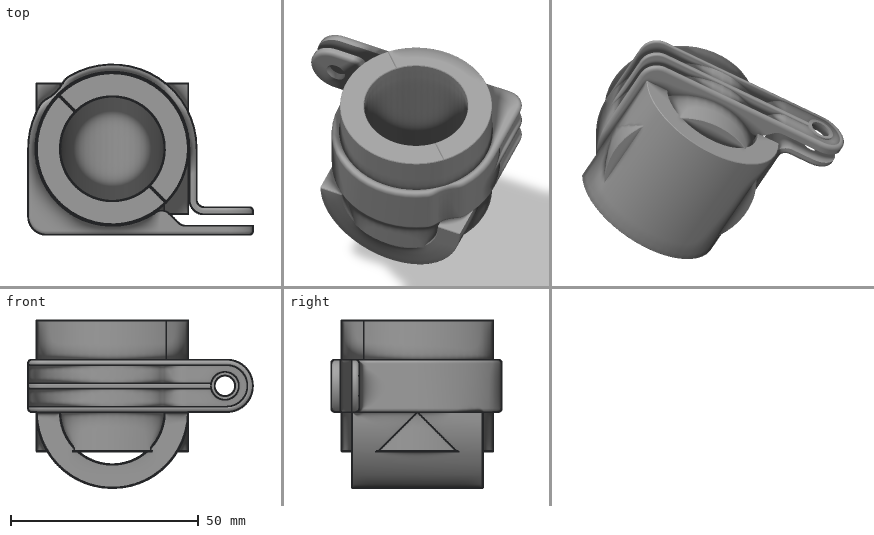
import cadquery as cq
import math


sleeve_diameter = 40.55
sleeve_bore_diameter = 27.7
sleeve_length = 35.05
sleeve_end_chamfer = 0.2
split_angle = -45

band_bore_radius = 20.5
band_wall = 2.0
band_height = 14.05
band_edge_fillet = 1.0

arm_tip_x = 37.5
arm_gap = 3.0
bolt_x = 30.0
bolt_hole_diameter = 5.4
bolt_boss_diameter = 7.45

strap_bend_radius = 2.0
arm_bend_radius = 3.0
lip_fillet = 3.0

rib_thickness = 1.5
rib_projection = 0.5
rib_edge_fillet = 0.5
rib_corner_radius = 5.0

hinge_angle = 135
hinge_wall = 0.8
hinge_hollow_radius = 10.0
hinge_shoulder_fillet = 5.0

sleeve_radius = sleeve_diameter / 2
band_radius = band_bore_radius + band_wall
half_height = band_height / 2
rigid_arm_inner_y = -band_bore_radius
web_outer_y = rigid_arm_inner_y - band_wall
rib_outer_y = web_outer_y - rib_projection
strap_arm_outer_y = rigid_arm_inner_y + arm_gap
strap_arm_inner_y = strap_arm_outer_y + band_wall
tip_centre_x = arm_tip_x - half_height
cradle_axis_z = -half_height


def polar(centre, radius, angle):
    """Point at the given angle in degrees on a circle."""
    a = math.radians(angle)
    return centre[0] + radius * math.cos(a), centre[1] + radius * math.sin(a)


def arc(path, centre, radius, start, end):
    """Continue a path with a circular arc between two angles in degrees."""
    middle = polar(centre, radius, (start + end) / 2)
    return path.threePointArc(middle, polar(centre, radius, end))


def full_sleeve():
    tube = cq.Workplane("XY").circle(sleeve_radius).circle(sleeve_bore_diameter / 2)
    return tube.extrude(sleeve_length / 2, both=True)


def half_sleeve(direction):
    """Half of the split sleeve, on the side of the joint that the direction (degrees) points to."""
    keep = cq.Workplane("XY").box(
        sleeve_diameter, sleeve_diameter, sleeve_length, centered=(False, True, True)
    )
    half = full_sleeve().intersect(keep).faces("|Z").chamfer(sleeve_end_chamfer)
    return half.rotate((0, 0, 0), (0, 0, 1), direction)


def make_cradle():
    lying = half_sleeve(-90).rotate((0, 0, 0), (1, 0, 0), 90)
    return lying.translate((0, 0, cradle_axis_z)).cut(full_sleeve())


origin = (0, 0)
strap_bend_centre = (band_radius + strap_bend_radius, strap_arm_inner_y + strap_bend_radius)

slit_face_sum = -arm_gap / 2 * math.sqrt(2)
arm_bend_centre_y = rigid_arm_inner_y + arm_bend_radius
arm_bend_centre = (slit_face_sum + arm_bend_radius * math.sqrt(2) - arm_bend_centre_y, arm_bend_centre_y)
lip_reach = band_bore_radius + lip_fillet
lip_angle = split_angle - math.degrees(math.asin((arm_gap / 2 + lip_fillet) / lip_reach))
lip_centre = polar(origin, lip_reach, lip_angle)
slit_normal = split_angle + 90

hollow_reach = band_bore_radius + hinge_wall + hinge_hollow_radius
shoulder_reach = band_radius - hinge_shoulder_fillet
centre_spacing = hinge_hollow_radius + hinge_shoulder_fillet
shoulder_offset = math.degrees(math.acos(
    (hollow_reach**2 + shoulder_reach**2 - centre_spacing**2) / (2 * hollow_reach * shoulder_reach)
))
hollow_half_angle = math.degrees(
    math.asin(shoulder_reach * math.sin(math.radians(shoulder_offset)) / centre_spacing)
)


def slit_and_strap_path():
    """Open path: tip of the rigid arm, slit lip, strap arm, then over the band's outside to its -X side.

    It skips the bore, which is cut later.
    """
    path = cq.Workplane("XY").moveTo(arm_tip_x, rigid_arm_inner_y)
    path = path.lineTo(arm_bend_centre[0], rigid_arm_inner_y)
    path = arc(path, arm_bend_centre, arm_bend_radius, -90, slit_normal - 180)
    path = path.lineTo(*polar(lip_centre, lip_fillet, slit_normal))
    path = arc(path, lip_centre, lip_fillet, slit_normal, lip_angle + 180)
    path = path.lineTo(band_bore_radius, 0)
    path = path.lineTo(band_bore_radius, strap_bend_centre[1])
    path = arc(path, strap_bend_centre, strap_bend_radius + band_wall, 180, 270)
    path = path.lineTo(arm_tip_x, strap_arm_outer_y).lineTo(arm_tip_x, strap_arm_inner_y)
    path = path.lineTo(strap_bend_centre[0], strap_arm_inner_y)
    path = arc(path, strap_bend_centre, strap_bend_radius, 270, 180)
    path = path.lineTo(band_radius, 0)
    first = hinge_angle - shoulder_offset
    last = hinge_angle + shoulder_offset
    hollow_mid = hinge_angle + 180
    path = arc(path, origin, band_radius, 0, first)
    path = arc(path, polar(origin, shoulder_reach, first), hinge_shoulder_fillet,
               first, hinge_angle + hollow_half_angle)
    path = arc(path, polar(origin, hollow_reach, hinge_angle), hinge_hollow_radius,
               hollow_mid + hollow_half_angle, hollow_mid - hollow_half_angle)
    path = arc(path, polar(origin, shoulder_reach, last), hinge_shoulder_fillet,
               hinge_angle - hollow_half_angle, last)
    return arc(path, origin, band_radius, last, 180)


def clamp_envelope():
    """Clamp with solid band and solid rigid arm, rounded arm tips and rounded outer edges."""
    path = slit_and_strap_path()
    corner = (-band_radius + rib_corner_radius, rib_outer_y + rib_corner_radius)
    path = path.lineTo(-band_radius, corner[1])
    path = arc(path, corner, rib_corner_radius, 180, 270)
    body = path.lineTo(arm_tip_x, rib_outer_y).close().extrude(half_height, both=True)

    side = (
        cq.Workplane("XZ").moveTo(-band_radius, -half_height).lineTo(tip_centre_x, -half_height)
        .threePointArc((arm_tip_x, 0), (tip_centre_x, half_height))
        .lineTo(-band_radius, half_height).close().extrude(band_radius * 2, both=True)
    )
    body = body.intersect(side)
    return body.edges(
        cq.selectors.NearestToPointSelector((0, rib_outer_y, half_height))
    ).fillet(band_edge_fillet)


def web():
    """Prism of the band, with its bore still filled, and the flat wall of both arms."""
    path = slit_and_strap_path()
    path = arc(path, origin, band_radius, 180, 360 + lip_angle)
    web_lip_fillet = lip_fillet - band_wall
    path = arc(path, lip_centre, web_lip_fillet, lip_angle + 180, slit_normal)
    path = path.lineTo(*polar(arm_bend_centre, arm_bend_radius + band_wall, slit_normal - 180))
    path = arc(path, arm_bend_centre, arm_bend_radius + band_wall, slit_normal - 180, -90)
    return path.lineTo(arm_tip_x, web_outer_y).close().extrude(half_height, both=True)


def rib_plate(z_middle):
    """Flat rib filling the corner outside the band, with rounded free edges."""
    plate = cq.Workplane("XY").box(
        tip_centre_x + band_radius, -rib_outer_y, rib_thickness, centered=(False, False, True)
    ).translate((-band_radius, rib_outer_y, z_middle))
    plate = plate.edges("|Z and <X and <Y").fillet(rib_corner_radius)
    return plate.faces("<Y").edges("|X").fillet(rib_edge_fillet)


def tip_rim():
    """Rib around the round tip of the rigid arm."""
    rim = (
        cq.Workplane("XZ", origin=(tip_centre_x, rigid_arm_inner_y, 0))
        .circle(half_height).circle(half_height - rib_thickness).extrude(rigid_arm_inner_y - rib_outer_y)
    )
    rim = rim.faces("<Y").edges(cq.selectors.RadiusNthSelector(0)).fillet(rib_edge_fillet)
    tip_side = cq.Workplane("XY").box(
        half_height, -rib_outer_y, band_height, centered=(False, False, True)
    ).translate((tip_centre_x, rib_outer_y, 0))
    return rim.intersect(tip_side)


def bolt_cylinder(diameter, y_start, length):
    """Cylinder on the bolt axis running toward -Y."""
    return cq.Workplane("XZ", origin=(bolt_x, y_start, 0)).circle(diameter / 2).extrude(length)


def make_clamp():
    kept = web().union(tip_rim())
    edge_rib_z = half_height - rib_thickness / 2
    for z_middle in (-edge_rib_z, 0, edge_rib_z):
        kept = kept.union(rib_plate(z_middle))
    kept = kept.union(bolt_cylinder(bolt_boss_diameter, rigid_arm_inner_y, rigid_arm_inner_y - rib_outer_y))
    bore = cq.Workplane("XY").circle(band_bore_radius).extrude(half_height, both=True)
    bolt_hole = bolt_cylinder(bolt_hole_diameter, strap_arm_inner_y, strap_arm_inner_y - rib_outer_y)
    return clamp_envelope().intersect(kept).cut(bore).cut(bolt_hole)


sleeve_halves = [half_sleeve(split_angle + quarter_turn) for quarter_turn in (90, -90)]
cradle = make_cradle()
clamp = make_clamp()

result = cq.Compound.makeCompound([clamp.val(), cradle.val(), *[half.val() for half in sleeve_halves]])